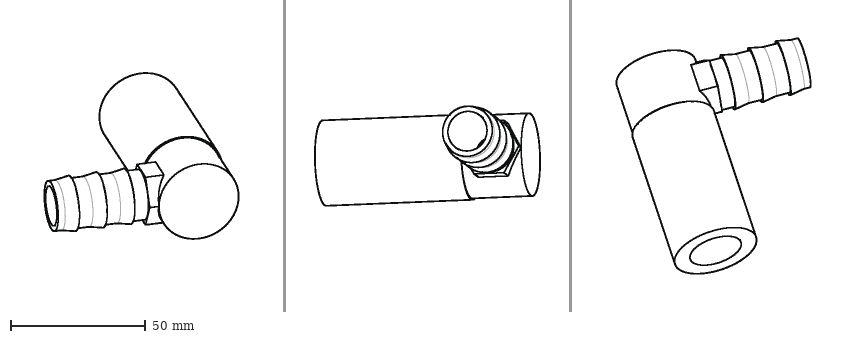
import cadquery as cq
import math

total_length = 79.0
sleeve_length = 56.0
sleeve_diameter = 32.0
collar_diameter = 31.0
collar_length = total_length - sleeve_length

outlet_x = sleeve_length + collar_length / 2
overall_width = 70.0
outlet_reach = overall_width - sleeve_diameter / 2
hex_reach = 19.0
hex_across_flats = 19.8
hex_across_corners = hex_across_flats / math.cos(math.pi / 6)

tail_diameter = 19.0
barb_diameter = 21.0
barb_length = 5.4
barb_spacing = 2 * barb_length
barb_count = 3
plain_tip_length = 2.6

socket_diameter = 20.0
socket_depth = sleeve_length
bore_diameter = 15.0


def cylinder_along_x(start, length, diameter):
    return cq.Workplane("YZ", origin=(start, 0, 0)).circle(diameter / 2).extrude(length)


def plane_facing_outlet(reach=0.0):
    """XZ plane on the outlet axis, a given distance toward -Y, with its normal along -Y."""
    return cq.Workplane("XZ", origin=(outlet_x, -reach, 0))


def cylinder_to_outlet(reach, diameter):
    return plane_facing_outlet().circle(diameter / 2).extrude(reach)


def barb(tip_reach):
    """Conical barb whose narrow end lies at tip_reach along the outlet."""
    return (
        plane_facing_outlet(tip_reach - barb_length)
        .circle(barb_diameter / 2)
        .workplane(offset=barb_length)
        .circle(tail_diameter / 2)
        .loft(ruled=True)
    )


def elbow_bore():
    """Two equal bores meeting at a mitred corner on the outlet axis."""
    inlet_leg = cylinder_along_x(0, outlet_x, bore_diameter)
    outlet_leg = cylinder_to_outlet(outlet_reach, bore_diameter)
    inlet_extended = cylinder_along_x(sleeve_length, collar_length, bore_diameter)
    outlet_extended = plane_facing_outlet().circle(bore_diameter / 2).extrude(bore_diameter, both=True)
    mitre_corner = inlet_extended.intersect(outlet_extended)
    return inlet_leg.union(outlet_leg).union(mitre_corner)


sleeve = cylinder_along_x(0, sleeve_length, sleeve_diameter)
collar = cylinder_along_x(sleeve_length, collar_length, collar_diameter)
hexagon = plane_facing_outlet().polygon(6, hex_across_corners).extrude(hex_reach)
tail = cylinder_to_outlet(outlet_reach, tail_diameter)

body = sleeve.union(collar).union(hexagon).union(tail)
for index in range(barb_count):
    body = body.union(barb(outlet_reach - plain_tip_length - index * barb_spacing))

socket = cylinder_along_x(0, socket_depth, socket_diameter)
result = body.cut(socket).cut(elbow_bore())